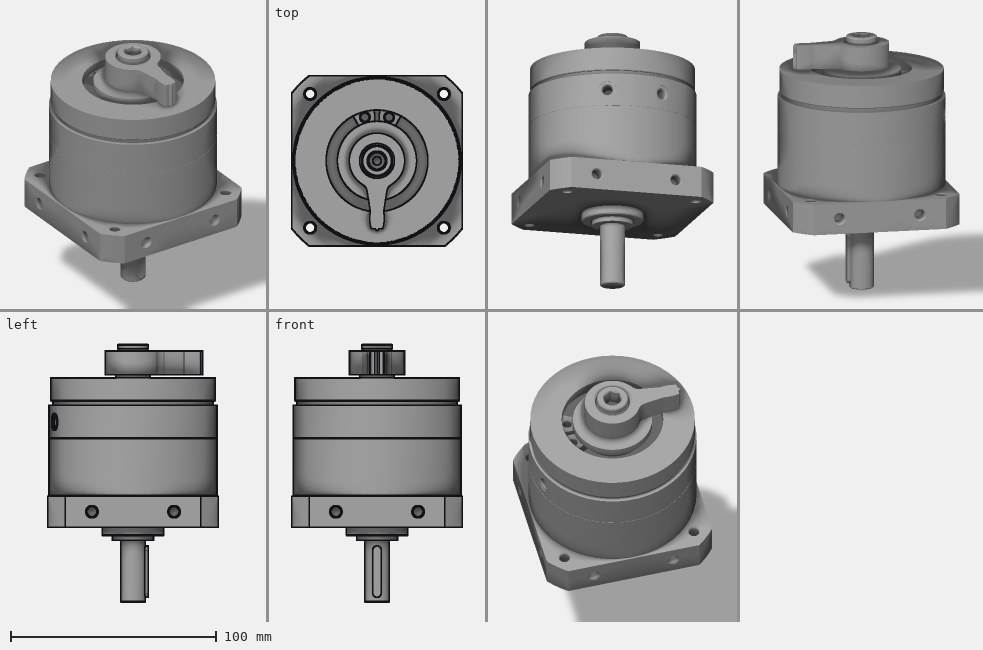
import cadquery as cq
import math

flange_width = 83.0
flange_height = 15.2
flange_corner_diameter = 105.9
mount_hole_offset = 32.5
side_hole_offset = 20.0
tapped_diameter = 4.9
tapped_mouth_diameter = 6.0
side_hole_depth = 8.0

boss_diameter = 30.0
boss_height = 4.1
boss_chamfer = 0.5

body_diameter = 81.7
body_top = 59.4
seam_height = 43.0
seam_width = 0.4
seam_depth = 0.1
neck_diameter = 77.9
cap_diameter = 80.1
cap_bottom = 61.4
cap_top = 72.7
cap_chamfer = 0.4

port_spotface_diameter = 8.3
port_depth = 10
port_spotface_depth = 0.4
port_angle = 20
port_height = (seam_height + body_top) / 2

slot_inner_diameter = 38.5
slot_outer_diameter = 49.5
slot_lip = 4.0
slot_depth = 9.0
undercut_inner_diameter = 32.0
undercut_outer_diameter = 54.2
stop_start_angle = 3
stop_end_angle = 28
stop_hole_diameter = 4.1
stop_hole_mouth_diameter = 5

overall_height = 125.5
shaft_length_below = 36.5
shaft_diameter = 12.0
shaft_chamfer = 0.5
collar_diameter = 20.0
collar_bottom = -6.4
journal_diameter = 17.0
journal_top = 85.2
stub_diameter = 15
stub_top = overall_height - shaft_length_below
stub_chamfer = 0.5
ring_groove_diameter = 14.3
ring_groove_bottom = 85.6
ring_groove_top = 86.7
socket_across_flats = 8.0
socket_mouth_diameter = 9.5
socket_depth = 8.2
centre_hole_diameter = 4.1
centre_hole_depth = 12.5

lever_bottom = 74
lever_top = 85.7
hub_diameter = 27.0
arm_root_y = -10
arm_root_half_width = 5.5
waist_y = -24.7
waist_half_width = 3.3
bulge_half_width = 3.5
arm_end_y = -32.9
arm_end_half_width = 2.9
arm_end_fillet = 0.5
root_fillet = 4.8
waist_fillet = 1.6
pointer_half_width = 1.1
pointer_tip_y = -34.0

key_width = 4.1
key_top = -9.0
key_length = 25.0
key_outer_y = -7.5
key_height = 4.0

drill_tip_angle = 118

edge_search_reach = 0.4


def disc(diameter, bottom, top):
    """Upright cylinder on the Z axis."""
    return cq.Workplane("XY").workplane(offset=bottom).circle(diameter / 2).extrude(top - bottom)


def tapped_hole(diameter, mouth_diameter, depth, mouth_angle=90):
    """Cutter for a blind hole down from the origin, with a conical mouth and a drill tip."""
    radius = diameter / 2
    mouth_radius = mouth_diameter / 2
    mouth_depth = (mouth_radius - radius) / math.tan(math.radians(mouth_angle / 2))
    tip = radius / math.tan(math.radians(drill_tip_angle / 2))
    return (
        cq.Workplane("XZ")
        .polyline(
            [
                (0, 0),
                (mouth_radius, 0),
                (radius, -mouth_depth),
                (radius, -depth),
                (0, -depth - tip),
            ]
        )
        .close()
        .revolve(360, (0, 0), (0, 1))
    )


def turned(angle, solid):
    """The solid turned about the Z axis, counterclockwise from above."""
    return solid.rotate((0, 0, 0), (0, 0, 1), angle)


def make_flange():
    """Base plate with rounded-off corners, four through holes and two tapped holes in each side."""
    plate = cq.Workplane("XY").rect(flange_width, flange_width).extrude(flange_height)
    plate = plate.intersect(disc(flange_corner_diameter, 0, flange_height))
    plate = (
        plate.faces(">Z")
        .workplane(origin=(0, 0, flange_height))
        .rect(2 * mount_hole_offset, 2 * mount_hole_offset, forConstruction=True)
        .vertices()
        .cskHole(tapped_diameter, tapped_mouth_diameter, 90)
    )
    front_hole = tapped_hole(tapped_diameter, tapped_mouth_diameter, side_hole_depth)
    front_hole = front_hole.rotate((0, 0, 0), (1, 0, 0), 90)
    for side in range(4):
        for x in (-side_hole_offset, side_hole_offset):
            hole = front_hole.translate((x, -flange_width / 2, flange_height / 2))
            plate = plate.cut(turned(90 * side, hole))
    return plate


def make_t_slot():
    """Cutter for the ring-shaped slot, without the stretches that the stop blocks fill."""
    lip_bottom = cap_top - slot_lip
    slot_bottom = cap_top - slot_depth
    mouth = disc(slot_outer_diameter, lip_bottom, cap_top)
    mouth = mouth.cut(disc(slot_inner_diameter, lip_bottom, cap_top))
    undercut = disc(undercut_outer_diameter, slot_bottom, lip_bottom)
    undercut = undercut.cut(disc(undercut_inner_diameter, slot_bottom, lip_bottom))
    stop_hole = tapped_hole(stop_hole_diameter, stop_hole_mouth_diameter, slot_depth)
    stop_hole = stop_hole.intersect(disc(stop_hole_mouth_diameter, slot_bottom - lip_bottom, 0))
    hole_radius = (slot_inner_diameter + slot_outer_diameter) / 4
    reach = 2 * undercut_outer_diameter
    for side in (-1, 1):
        angles = [math.radians(90 + side * a) for a in (stop_start_angle, stop_end_angle)]
        wedge = (
            cq.Workplane("XY")
            .workplane(offset=slot_bottom)
            .polyline([(0, 0)] + [(reach * math.cos(a), reach * math.sin(a)) for a in angles])
            .close()
            .extrude(lip_bottom - slot_bottom)
        )
        undercut = undercut.cut(wedge)
        hole = stop_hole.translate((0, hole_radius, lip_bottom))
        undercut = undercut.union(turned(side * (stop_start_angle + stop_end_angle) / 2, hole))
    return mouth.union(undercut)


def make_housing():
    """Flange, boss, round body and cap in one piece, bored through for the shaft."""
    housing = make_flange()
    housing = housing.union(disc(body_diameter, flange_height, body_top))
    housing = housing.union(disc(neck_diameter, body_top, cap_bottom))
    housing = housing.union(disc(cap_diameter, cap_bottom, cap_top).faces("<Z").chamfer(cap_chamfer))
    housing = housing.union(disc(boss_diameter, -boss_height, 0).faces("<Z").chamfer(boss_chamfer))
    for bottom in (flange_height, seam_height):
        top = bottom + seam_width
        seam = disc(body_diameter, bottom, top).cut(disc(body_diameter - 2 * seam_depth, bottom, top))
        housing = housing.cut(seam)
    port = tapped_hole(tapped_diameter, tapped_mouth_diameter, port_depth)
    port = port.union(disc(port_spotface_diameter, 0, port_spotface_depth))
    port_face_y = body_diameter / 2 - port_spotface_depth
    port = port.rotate((0, 0, 0), (1, 0, 0), -90).translate((0, port_face_y, port_height))
    for angle in (-port_angle, port_angle):
        housing = housing.cut(turned(angle, port))
    housing = housing.cut(make_t_slot())
    return housing.cut(disc(journal_diameter, -boss_height, cap_top))


def make_socket():
    """Cutter for the hexagon socket and the centre hole below it."""
    across_corners = socket_across_flats / math.cos(math.radians(30))
    hexagon = cq.Workplane("XY").polygon(6, across_corners).extrude(-socket_depth)
    mouth_radius = socket_mouth_diameter / 2
    flat_radius = socket_across_flats / 2
    mouth_depth = mouth_radius - flat_radius
    mouth = (
        cq.Workplane("XZ")
        .polyline([(0, 0), (mouth_radius, 0), (flat_radius, -mouth_depth), (0, -mouth_depth)])
        .close()
        .revolve(360, (0, 0), (0, 1))
    )
    centre_hole = tapped_hole(
        centre_hole_diameter,
        socket_across_flats,
        centre_hole_depth - socket_depth,
        drill_tip_angle,
    )
    return hexagon.union(mouth).union(centre_hole.translate((0, 0, -socket_depth)))


def make_shaft(key):
    """Stepped shaft with a keyway, a retaining ring groove and a hexagon socket on top."""
    taper = (journal_diameter - stub_diameter) / 2
    shaft = disc(shaft_diameter, -shaft_length_below, collar_bottom).faces("<Z").chamfer(shaft_chamfer)
    shaft = shaft.union(disc(collar_diameter, collar_bottom, -boss_height))
    shaft = shaft.union(disc(journal_diameter, -boss_height, journal_top).faces(">Z").chamfer(taper))
    shaft = shaft.union(disc(stub_diameter, journal_top, ring_groove_bottom))
    shaft = shaft.union(disc(ring_groove_diameter, ring_groove_bottom, ring_groove_top))
    shaft = shaft.union(disc(stub_diameter, ring_groove_top, stub_top).faces(">Z").chamfer(stub_chamfer))
    return shaft.cut(make_socket().translate((0, 0, stub_top))).cut(key)


def upright_edges_near(x, y):
    """Selector for the lever's upright edges close to (x, y) and (-x, y)."""
    middle = (lever_bottom + lever_top) / 2
    boxes = [
        cq.selectors.BoxSelector(
            (side * x - edge_search_reach, y - edge_search_reach, middle - edge_search_reach),
            (side * x + edge_search_reach, y + edge_search_reach, middle + edge_search_reach),
        )
        for side in (-1, 1)
    ]
    return boxes[0] + boxes[1]


def make_lever():
    """Round hub with a tapered arm that ends in a small pointer."""
    hub = disc(hub_diameter, lever_bottom, lever_top)
    bulge_y = (waist_y + arm_end_y) / 2
    arm = (
        cq.Workplane("XY")
        .workplane(offset=lever_bottom)
        .moveTo(-arm_root_half_width, arm_root_y)
        .lineTo(-waist_half_width, waist_y)
        .threePointArc((-bulge_half_width, bulge_y), (-arm_end_half_width, arm_end_y))
        .lineTo(-pointer_half_width, arm_end_y)
        .lineTo(0, pointer_tip_y)
        .lineTo(pointer_half_width, arm_end_y)
        .lineTo(arm_end_half_width, arm_end_y)
        .threePointArc((bulge_half_width, bulge_y), (waist_half_width, waist_y))
        .lineTo(arm_root_half_width, arm_root_y)
        .close()
        .extrude(lever_top - lever_bottom)
    )
    arm = arm.edges(upright_edges_near(arm_end_half_width, arm_end_y)).fillet(arm_end_fillet)
    arm = arm.edges(upright_edges_near(waist_half_width, waist_y)).fillet(waist_fillet)
    lever = hub.union(arm)
    taper = (arm_root_half_width - waist_half_width) / (arm_root_y - waist_y)
    centre_half_width = arm_root_half_width - taper * arm_root_y
    taper_angle = math.atan(taper)
    hub_radius = hub_diameter / 2
    junction_angle = math.asin(centre_half_width * math.cos(taper_angle) / hub_radius) - taper_angle
    junction_x = hub_radius * math.sin(junction_angle)
    junction_y = -hub_radius * math.cos(junction_angle)
    lever = lever.edges(upright_edges_near(junction_x, junction_y)).fillet(root_fillet)
    return lever.cut(disc(journal_diameter, lever_bottom, lever_top))


def make_key():
    """Round-ended key on the -Y side of the lower shaft."""
    return (
        cq.Workplane("XZ", origin=(0, key_outer_y, key_top - key_length / 2))
        .slot2D(key_length, key_width, 90)
        .extrude(-key_height)
    )


key = make_key()
shaft = make_shaft(key)
lever = make_lever()
housing = make_housing()

result = cq.Compound.makeCompound([housing.val(), shaft.val(), lever.val(), key.val()])